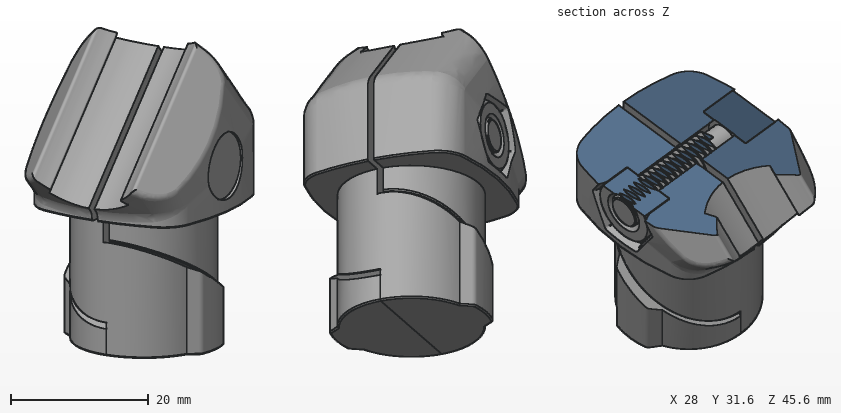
import cadquery as cq
import math

HEAD_WIDTH = 28.0
SIDE_ARC_RADIUS = 37.35
CORNER_RADIUS = 5.0
COLLAR_Z = 21.0
COLLAR_CHAMFER = 0.25
PIVOT_Z = 28.0
TILT_ANGLE = 45.0
BACK_BEND_RADIUS = 3.0
FRONT_BEND_RADIUS = 2.0

TUBE_AXIS_HEIGHT = 20.6
LIP_RADIUS = 11.97
SEAT_RADIUS = 13.48
LIP_HALF_ANGLE = 45.0
SEAT_HALF_ANGLE = 29.5
FACE_EDGE_RADIUS = 1.0
LIP_CORNER_RADIUS = 0.5
SEAT_CORNER_RADIUS = 0.25

POST_RADIUS = 10.75
POST_CHAMFER = 0.25
RIB_RADIUS = 12.05
RIB_TIP_HALF_WIDTH = 3.2
RIB_ROOT_HALF_WIDTH = 4.4
RIB_CORNER_RADIUS = 1.0

SLIT_WIDTH = 0.95
JAW_TOP_Z = 10.55
JAW_TOP_ANGLE = 31.2
JAW_UNDERSIDE_Z = 11.1
JAW_UNDERSIDE_ANGLE = 30.2
UNDERSIDE_CHAMFER = 0.2

BOLT_RADIUS = 3.0
THREAD_ROOT_RADIUS = 2.45
THREAD_PITCH = 1.0
THREAD_CREST_WIDTH = 0.15
THREAD_SINK = 0.05
THREAD_START_ANGLE = 70.0
THREAD_END = 18.2
BOLT_TIP_RADIUS = 2.28
BOLT_HOLE_RADIUS = 3.3
BOLT_HEAD_RADIUS = 5.0
BOLT_HEAD_HEIGHT = 6.0
NUT_WIDTH = 10.0
NUT_THICKNESS = 5.0
NUT_FACE_RADIUS = 4.85
NUT_MOUTH_RADIUS = 3.25
NUT_BEVEL_ANGLE = 45.0
NUT_POCKET_WIDTH = 10.1
NUT_POCKET_FLARE_DEPTH = 1.55
NUT_POCKET_FLARE_ANGLE = 20.0
FASTENER_END_X = 13.35

REACH = 54.65
TOLERANCE = 0.0005
HEXAGON_FLAT_RATIO = math.cos(math.radians(30))

tilt = math.radians(TILT_ANGLE)
head_half = HEAD_WIDTH / 2
slit_half = SLIT_WIDTH / 2
nut_inner_x = NUT_THICKNESS - FASTENER_END_X
head_inner_x = FASTENER_END_X - BOLT_HEAD_HEIGHT
tilted_normal = (0, -math.sin(tilt), math.cos(tilt))
tilted_plane = cq.Plane(origin=(0, 0, PIVOT_Z), xDir=(1, 0, 0), normal=tilted_normal)
tilted_base_plane = cq.Plane(
    origin=tilted_plane.toWorldCoords((0, 0, -head_half)).toTuple(), xDir=(1, 0, 0), normal=tilted_normal
)
cradle_plane = cq.Plane(
    origin=tilted_plane.toWorldCoords((0, 0, TUBE_AXIS_HEIGHT)).toTuple(),
    xDir=(1, 0, 0),
    normal=(0, -math.cos(tilt), -math.sin(tilt)),
)
bend_plane = cq.Plane(
    origin=(0, 0, PIVOT_Z),
    xDir=(1, 0, 0),
    normal=(0, -math.sin(tilt / 2), math.cos(tilt / 2)),
)
fastener_plane = cq.Plane(origin=(0, 0, PIVOT_Z), xDir=(0, 1, 0), normal=(1, 0, 0))


def head_prism(plane, length):
    """Square prism with four bulging sides and rounded corners."""
    arc_offset = SIDE_ARC_RADIUS - head_half
    corner = (math.sqrt(2 * SIDE_ARC_RADIUS**2 - arc_offset**2) - arc_offset) / 2
    return (
        cq.Workplane(plane)
        .moveTo(-corner, -corner)
        .threePointArc((0, -head_half), (corner, -corner))
        .threePointArc((head_half, 0), (corner, corner))
        .threePointArc((0, head_half), (-corner, corner))
        .threePointArc((-head_half, 0), (-corner, -corner))
        .close()
        .extrude(length)
        .edges(cq.selectors.ParallelDirSelector(plane.zDir))
        .fillet(CORNER_RADIUS)
    )


def polar(radius, angle):
    """Point in the cradle profile, measured from straight below the tube axis."""
    return (radius * math.sin(math.radians(angle)), -radius * math.cos(math.radians(angle)))


def face_cutter():
    """Everything above the two outer faces, which slope away from the tube axis."""
    far = REACH / 2
    outline = [(0, 0), (far, -far), (far, far), (-far, far), (-far, -far)]
    return cq.Workplane(cradle_plane).polyline(outline).close().extrude(far, both=True)


def seat_cutter():
    """Tube seat with a narrower lip on each side, and the space between the outer faces."""
    far = REACH / 2
    lip_middle_angle = (LIP_HALF_ANGLE + SEAT_HALF_ANGLE) / 2
    cutter = (
        cq.Workplane(cradle_plane)
        .moveTo(-far, -far)
        .lineTo(*polar(LIP_RADIUS, -LIP_HALF_ANGLE))
        .threePointArc(polar(LIP_RADIUS, -lip_middle_angle), polar(LIP_RADIUS, -SEAT_HALF_ANGLE))
        .lineTo(*polar(SEAT_RADIUS, -SEAT_HALF_ANGLE))
        .threePointArc(polar(SEAT_RADIUS, 0), polar(SEAT_RADIUS, SEAT_HALF_ANGLE))
        .lineTo(*polar(LIP_RADIUS, SEAT_HALF_ANGLE))
        .threePointArc(polar(LIP_RADIUS, lip_middle_angle), polar(LIP_RADIUS, LIP_HALF_ANGLE))
        .lineTo(far, -far)
        .lineTo(far, far)
        .lineTo(-far, far)
        .close()
        .extrude(far, both=True)
    )
    for side in (-1, 1):
        cutter = edge_at(cutter, LIP_RADIUS, side * LIP_HALF_ANGLE).fillet(LIP_CORNER_RADIUS)
        cutter = edge_at(cutter, LIP_RADIUS, side * SEAT_HALF_ANGLE).fillet(SEAT_CORNER_RADIUS)
    return cutter


def edge_at(solid, radius, angle):
    """The straight cradle edge at a polar position of the profile."""
    point = cradle_plane.toWorldCoords(polar(radius, angle)).toTuple()
    return solid.edges(cq.selectors.NearestToPointSelector(point))


def round_outer_faces(solid):
    """Round the rim of each outer face, leaving the ridge between them sharp."""
    for side in (-1, 1):
        middle = cradle_plane.toWorldCoords(polar(SEAT_RADIUS, side * LIP_HALF_ANGLE)).toTuple()
        face = solid.faces(cq.selectors.NearestToPointSelector(middle))
        rim = [e for e in face.edges().vals() if abs(e.Center().x) > TOLERANCE]
        solid = solid.newObject(rim).fillet(FACE_EDGE_RADIUS)
    return solid


def bent_head():
    below_bend = cq.Workplane(bend_plane).rect(REACH, REACH).extrude(-REACH)
    above_bend = cq.Workplane(bend_plane).rect(REACH, REACH).extrude(REACH)
    collar_plane = cq.Plane.XY((0, 0, COLLAR_Z))
    upright = head_prism(collar_plane, REACH).faces("<Z").chamfer(COLLAR_CHAMFER).intersect(below_bend)
    tilted = head_prism(tilted_base_plane, REACH).intersect(above_bend).cut(face_cutter())
    tilted = round_outer_faces(tilted).cut(seat_cutter())
    return upright.union(tilted)


def hexagon(width, start_x, end_x, flare_angle=0):
    """Hexagonal bar along X, widening towards its end when it has a flare."""
    corner_width = width / HEXAGON_FLAT_RATIO
    base = cq.Workplane(fastener_plane).workplane(offset=start_x).polygon(6, corner_width)
    return base.extrude(end_x - start_x, taper=-flare_angle)


def cylinder_along_x(radius, start_x, end_x):
    return cq.Workplane(fastener_plane).workplane(offset=start_x).circle(radius).extrude(end_x - start_x)


def fastener_hole():
    """Bolt hole with a flared hexagonal pocket for the nut and a round one for the bolt head."""
    hole = cylinder_along_x(BOLT_HOLE_RADIUS, -head_half, head_half)
    nut_pocket = hexagon(NUT_POCKET_WIDTH, nut_inner_x, -head_half)
    flare_start = NUT_POCKET_FLARE_DEPTH - head_half
    flare = hexagon(NUT_POCKET_WIDTH, flare_start, -head_half, NUT_POCKET_FLARE_ANGLE)
    head_pocket = cylinder_along_x(BOLT_HEAD_RADIUS, head_inner_x, head_half)
    return hole.union(nut_pocket).union(flare).union(head_pocket)


def bend_edges(solid, side):
    """Edges in the bend plane, on the front (side -1) or the back (side +1)."""

    def lies_in_bend(edge):
        points = [edge.positionAt(t) for t in (0, 0.5, 1)]
        return all(abs(bend_plane.toLocalCoords(p).z) < TOLERANCE for p in points)

    edges = [e for e in solid.edges().vals() if lies_in_bend(e) and e.Center().y * side > BOLT_HOLE_RADIUS]
    return solid.newObject(edges)


def side_slab(start_x, end_x, outline):
    """Slab between two X positions with an outline of (y, z) points."""
    return cq.Workplane("YZ").workplane(offset=start_x).polyline(outline).close().extrude(end_x - start_x)


def above_underside(start_x, end_x):
    """Space above the sloping underside of the left half of the head and post."""
    rise = REACH * math.tan(math.radians(JAW_UNDERSIDE_ANGLE))
    outline = [
        (-REACH, JAW_UNDERSIDE_Z - rise),
        (REACH, JAW_UNDERSIDE_Z + rise),
        (REACH, REACH + rise),
        (-REACH, REACH + rise),
    ]
    return side_slab(start_x, end_x, outline)


def below_top(start_x, end_x):
    """Space below the sloping top of the right half of the post foot."""
    rise = REACH * math.tan(math.radians(JAW_TOP_ANGLE))
    outline = [
        (-REACH, JAW_TOP_Z + rise),
        (REACH, JAW_TOP_Z - rise),
        (REACH, -REACH - rise),
        (-REACH, -REACH - rise),
    ]
    return side_slab(start_x, end_x, outline)


def foot_space():
    return below_top(0, REACH)


def jaw_space():
    """Space of the jaw that owns the left of the head and the right of the post foot."""
    neck = above_underside(-slit_half, 0).intersect(below_top(-slit_half, 0))
    return above_underside(-REACH, -slit_half).union(neck).union(foot_space())


def half_turned(shape):
    return shape.rotate((0, 0, 0), (0, 0, 1), 180)


def foot_ribs():
    """Bar across the post whose two ends are ribs with sloping flanks."""
    tip_x = math.sqrt(RIB_RADIUS**2 - RIB_TIP_HALF_WIDTH**2)
    root_x = math.sqrt(POST_RADIUS**2 - RIB_ROOT_HALF_WIDTH**2)
    return (
        cq.Workplane("XY")
        .moveTo(-root_x, -RIB_ROOT_HALF_WIDTH)
        .lineTo(root_x, -RIB_ROOT_HALF_WIDTH)
        .lineTo(tip_x, -RIB_TIP_HALF_WIDTH)
        .threePointArc((RIB_RADIUS, 0), (tip_x, RIB_TIP_HALF_WIDTH))
        .lineTo(root_x, RIB_ROOT_HALF_WIDTH)
        .lineTo(-root_x, RIB_ROOT_HALF_WIDTH)
        .lineTo(-tip_x, RIB_TIP_HALF_WIDTH)
        .threePointArc((-RIB_RADIUS, 0), (-tip_x, -RIB_TIP_HALF_WIDTH))
        .close()
        .extrude(COLLAR_Z)
        .edges("|Z")
        .edges("<X or >X")
        .fillet(RIB_CORNER_RADIUS)
        .faces("<Z")
        .chamfer(POST_CHAMFER)
        .intersect(foot_space().union(half_turned(foot_space())))
    )


def whole_body():
    """Head and ribbed post in one piece, before the split into two jaws."""
    post = cq.Workplane("XY").circle(POST_RADIUS).extrude(COLLAR_Z).faces("<Z").chamfer(POST_CHAMFER)
    head = bent_head().cut(fastener_hole())
    head = bend_edges(head, 1).fillet(BACK_BEND_RADIUS)
    head = bend_edges(head, -1).fillet(FRONT_BEND_RADIUS)
    return post.union(foot_ribs()).union(head)


def underside_rim(part):
    """The curved edge where the sloping underside of a jaw meets the post surface."""
    slope = math.tan(math.radians(JAW_UNDERSIDE_ANGLE))

    def is_rim(edge):
        for point in (edge.positionAt(0.2), edge.positionAt(0.8)):
            on_post = abs(math.hypot(point.x, point.y) - POST_RADIUS) < TOLERANCE
            on_underside = abs(JAW_UNDERSIDE_Z + slope * point.y - point.z) < TOLERANCE
            if not (on_post and on_underside):
                return False
        return True

    return part.newObject([e for e in part.edges("%ELLIPSE").vals() if is_rim(e)])


def jaw(body):
    """The jaw with the left half of the head and the right half of the post foot."""
    return underside_rim(body.intersect(jaw_space())).chamfer(UNDERSIDE_CHAMFER)


def thread(start, end):
    """Helical ridge round the Z axis, sunk a little into the shank it runs on."""
    crest_half = THREAD_CREST_WIDTH / 2
    root_half = THREAD_PITCH / 2 - crest_half
    sunk_radius = THREAD_ROOT_RADIUS - THREAD_SINK
    helix = cq.Wire.makeHelix(THREAD_PITCH, end - start - 2 * root_half, THREAD_ROOT_RADIUS)
    return (
        cq.Workplane("XZ")
        .moveTo(sunk_radius, -root_half)
        .lineTo(sunk_radius, root_half)
        .lineTo(BOLT_RADIUS, crest_half)
        .lineTo(BOLT_RADIUS, -crest_half)
        .close()
        .sweep(cq.Workplane(helix), isFrenet=True)
        .rotate((0, 0, 0), (0, 0, 1), THREAD_START_ANGLE)
        .translate((0, 0, start + root_half))
    )


def bolt():
    """Cap bolt with a helical thread, its conical tip towards -X."""
    shank_length = head_inner_x + FASTENER_END_X
    shank = cq.Workplane("XY").circle(THREAD_ROOT_RADIUS).extrude(shank_length)
    outside_tip = (
        cq.Workplane("XZ")
        .moveTo(BOLT_TIP_RADIUS, 0)
        .lineTo(BOLT_HEAD_RADIUS, 0)
        .lineTo(BOLT_HEAD_RADIUS, BOLT_HEAD_RADIUS - BOLT_TIP_RADIUS)
        .close()
        .revolve(360, (0, 0, 0), (0, 1, 0))
    )
    head = cq.Workplane("XY").workplane(offset=shank_length).circle(BOLT_HEAD_RADIUS).extrude(BOLT_HEAD_HEIGHT)
    threaded = shank.union(head).union(thread(0, THREAD_END)).cut(outside_tip)
    return threaded.rotate((0, 0, 0), (0, 1, 0), 90).translate((-FASTENER_END_X, 0, PIVOT_Z))


def nut(threaded_bolt):
    """Hexagon nut with bevelled corners and a conical mouth, tapped to suit the bolt."""
    corner_radius = NUT_WIDTH / 2 / HEXAGON_FLAT_RATIO
    bevel_width = corner_radius - NUT_FACE_RADIUS
    bevel_depth = bevel_width * math.tan(math.radians(NUT_BEVEL_ANGLE))
    blank = cylinder_along_x(corner_radius, -FASTENER_END_X, nut_inner_x)
    blank = blank.faces("<X").chamfer(bevel_depth, bevel_width)
    blank = blank.intersect(hexagon(NUT_WIDTH, nut_inner_x, -FASTENER_END_X))
    drilled = blank.cut(cylinder_along_x(THREAD_ROOT_RADIUS, -FASTENER_END_X, nut_inner_x))
    mouth_edge = drilled.faces("<X").edges(cq.selectors.RadiusNthSelector(0))
    return mouth_edge.chamfer(NUT_MOUTH_RADIUS - THREAD_ROOT_RADIUS).cut(threaded_bolt)


body = whole_body()
left_jaw = jaw(body)
right_jaw = half_turned(jaw(half_turned(body)))
clamp_bolt = bolt()
clamp_nut = nut(clamp_bolt)

bodies = [left_jaw, right_jaw, clamp_bolt, clamp_nut]
result = cq.Compound.makeCompound([part.solids().val() for part in bodies])